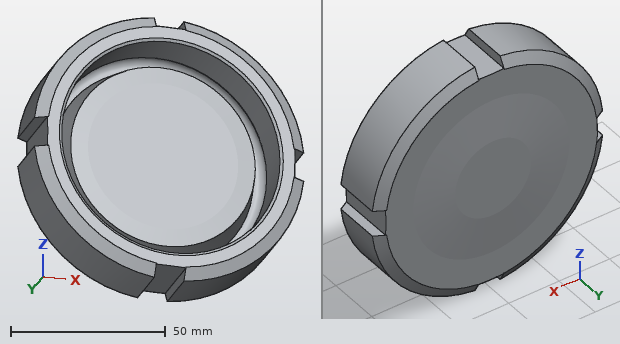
import cadquery as cq
import math


overall_width = 91.45
slot_width = 10.1
slot_floor_radius = 42.0
outer_radius = math.hypot(overall_width / 2, slot_width / 2)
chamfer_length = 2.3
ring_length = 22.0
slot_count = 4

bore_radius = 74.2 / 2
mouth_radius = 38.0
mouth_depth = 0.55
floor_depth = 19.2
groove_radius = 2.7
groove_center_radius = 35.3
groove_center_depth = floor_depth - groove_radius

plug_base_radius = 68.2 / 2
plug_edge_radius = 31.4
plug_edge_depth = 8.7
plug_face_radius = 25.5
plug_face_depth = 8.3

back_cone_radius = 62.0 / 2
back_flat_radius = 15.1
overall_length = 23.0


def groove_point(angle):
    """Point on the relief groove, with the angle measured from the radial direction toward +Y."""
    return (
        groove_center_radius + groove_radius * math.cos(angle),
        groove_center_depth + groove_radius * math.sin(angle),
    )


def turned_body():
    groove_end_angle = -math.acos((bore_radius - groove_center_radius) / groove_radius)
    profile = (
        cq.Workplane("XY")
        .moveTo(0, plug_face_depth)
        .lineTo(plug_face_radius, plug_face_depth)
        .lineTo(plug_edge_radius, plug_edge_depth)
        .lineTo(plug_base_radius, floor_depth)
        .lineTo(groove_center_radius, floor_depth)
        .threePointArc(groove_point(0), groove_point(groove_end_angle))
        .lineTo(bore_radius, mouth_depth)
        .lineTo(mouth_radius, 0)
        .lineTo(slot_floor_radius, 0)
        .lineTo(outer_radius, chamfer_length)
        .lineTo(outer_radius, ring_length - chamfer_length)
        .lineTo(slot_floor_radius, ring_length)
        .lineTo(back_cone_radius, ring_length)
        .lineTo(back_flat_radius, overall_length)
        .lineTo(0, overall_length)
        .close()
    )
    return profile.revolve(360, (0, 0, 0), (0, 1, 0))


def slot_cutter(angle):
    """Block that cuts one spanner slot through the full length of the rim."""
    return (
        cq.Workplane("XY")
        .box(outer_radius, ring_length, slot_width, centered=(False, False, True))
        .translate((slot_floor_radius, 0, 0))
        .rotate((0, 0, 0), (0, 1, 0), angle)
    )


result = turned_body()
for slot_index in range(slot_count):
    result = result.cut(slot_cutter(slot_index * 360 / slot_count))